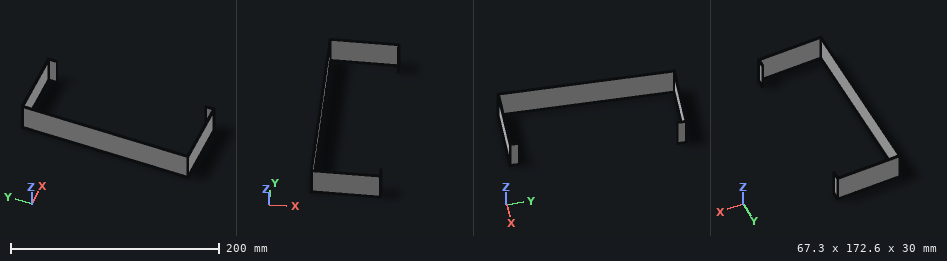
import cadquery as cq

depth = 67.3
length = 172.6
height = 30.0

thickness = 0.8
lip_length = 9.0

outer = cq.Workplane("XY").box(depth, length, height)
hollow = cq.Workplane("XY").box(depth - 2 * thickness, length - 2 * thickness, height)

opening = (
    cq.Workplane("XY")
    .center(depth / 2, 0)
    .box(4 * thickness, length - 2 * lip_length, height)
)

result = outer.cut(hollow).cut(opening)